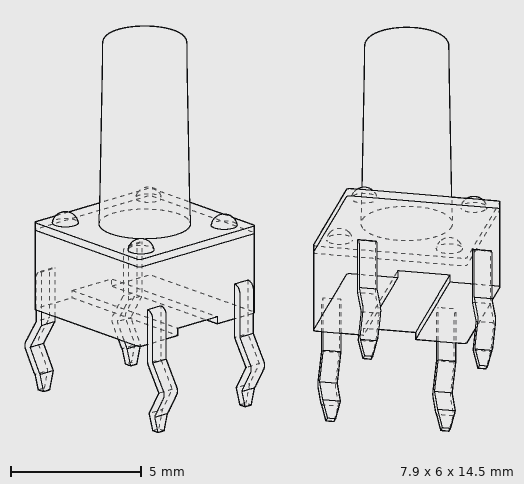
import cadquery as cq
import math

body_width = 6.0
corner_radius = 0.13
housing_height = 3.2
cover_thickness = 0.3
cover_top = housing_height + cover_thickness
overall_height = 14.5

channel_width = 2.03
channel_depth = 0.29

dome_diameter = 1.0
dome_height = 0.42
dome_spacing = 4.29

button_base_diameter = 3.5
button_top_diameter = 3.22
button_edge_radius = 0.2

leg_length = 3.5
button_top = overall_height - leg_length
leg_thickness = 0.3
leg_width = 0.7
leg_spacing = 4.5
leg_top = 1.4
leg_bend_depth = 0.75
knee_depth = 1.8
leg_span = 7.9
tip_height = 0.74
tip_end_width = 0.32
lower_slope = math.radians(30)


def square_plate(bottom, height):
    """Square slab with rounded vertical corners."""
    plate = cq.Workplane("XY").workplane(offset=bottom).rect(body_width, body_width).extrude(height)
    return plate.edges("|Z").fillet(corner_radius)


def make_housing():
    channel = (
        cq.Workplane("XY")
        .rect(body_width, channel_width)
        .extrude(channel_depth)
    )
    return square_plate(0, housing_height).cut(channel)


def make_dome():
    """Spherical cap about the Z axis, standing on the cover."""
    radius = dome_diameter / 2
    sphere_radius = (radius**2 + dome_height**2) / (2 * dome_height)
    half_angle = math.asin(radius / sphere_radius) / 2
    apex = cover_top + dome_height
    middle = (
        sphere_radius * math.sin(half_angle),
        apex - sphere_radius * (1 - math.cos(half_angle)),
    )
    return (
        cq.Workplane("XZ")
        .moveTo(0, cover_top)
        .lineTo(radius, cover_top)
        .threePointArc(middle, (0, apex))
        .close()
        .revolve(360, (0, 0, 0), (0, 1, 0))
    )


def make_cover():
    cover = square_plate(housing_height, cover_thickness)
    dome = make_dome()
    half = dome_spacing / 2
    for x in (-half, half):
        for y in (-half, half):
            cover = cover.union(dome.translate((x, y, 0)))
    return cover


def make_button():
    """Cone frustum standing on the cover, with a rounded top edge."""
    button = (
        cq.Workplane("XZ")
        .moveTo(0, cover_top)
        .lineTo(button_base_diameter / 2, cover_top)
        .lineTo(button_top_diameter / 2, button_top)
        .lineTo(0, button_top)
        .close()
        .revolve(360, (0, 0, 0), (0, 1, 0))
    )
    return button.faces(">Z").edges().fillet(button_edge_radius)


def make_leg():
    """Leg on the +X side, centred on Y = 0, lying flat against the housing wall."""
    inner_x = body_width / 2
    outer_x = inner_x + leg_thickness
    knee_x = leg_span / 2 - leg_thickness
    tip_top = tip_height - leg_length
    upper_slope = math.atan2(knee_x - inner_x, knee_depth - leg_bend_depth)

    def knee_outside(angle):
        """Point on the round outside of the knee, at an angle above horizontal."""
        return (
            knee_x + leg_thickness * math.cos(angle),
            -knee_depth + leg_thickness * math.sin(angle),
        )

    bend_arc_centre = leg_top - leg_thickness
    bend_arc_middle = (
        inner_x + leg_thickness * math.sqrt(0.5),
        bend_arc_centre + leg_thickness * math.sqrt(0.5),
    )
    outer_bend = -leg_bend_depth + leg_thickness * math.tan(upper_slope / 2)
    tip_inner_x = knee_x - (-knee_depth - tip_top) * math.tan(lower_slope)
    tip_outer_x = tip_inner_x + leg_thickness
    tip_outer_top = tip_top - leg_thickness * math.tan(lower_slope / 2)

    strip = (
        cq.Workplane("XZ")
        .moveTo(inner_x, leg_top)
        .threePointArc(bend_arc_middle, (outer_x, bend_arc_centre))
        .lineTo(outer_x, outer_bend)
        .lineTo(*knee_outside(upper_slope))
        .threePointArc(knee_outside(0), knee_outside(-lower_slope))
        .lineTo(tip_outer_x, tip_outer_top)
        .lineTo(tip_outer_x, -leg_length)
        .lineTo(tip_inner_x, -leg_length)
        .lineTo(tip_inner_x, tip_top)
        .lineTo(knee_x, -knee_depth)
        .lineTo(inner_x, -leg_bend_depth)
        .close()
        .extrude(leg_width / 2, both=True)
    )
    outline = (
        cq.Workplane("YZ")
        .moveTo(-leg_width / 2, leg_top)
        .lineTo(leg_width / 2, leg_top)
        .lineTo(leg_width / 2, tip_top)
        .lineTo(tip_end_width / 2, -leg_length)
        .lineTo(-tip_end_width / 2, -leg_length)
        .lineTo(-leg_width / 2, tip_top)
        .close()
        .extrude(leg_span / 2)
    )
    return strip.intersect(outline)


def make_legs():
    right_leg = make_leg()
    left_leg = right_leg.mirror("YZ")
    legs = []
    for leg in (left_leg, right_leg):
        for y in (-leg_spacing / 2, leg_spacing / 2):
            legs.append(leg.translate((0, y, 0)).val())
    return legs


housing = make_housing()
cover = make_cover()
button = make_button()
legs = make_legs()

result = cq.Compound.makeCompound([housing.val(), cover.val(), button.val(), *legs])